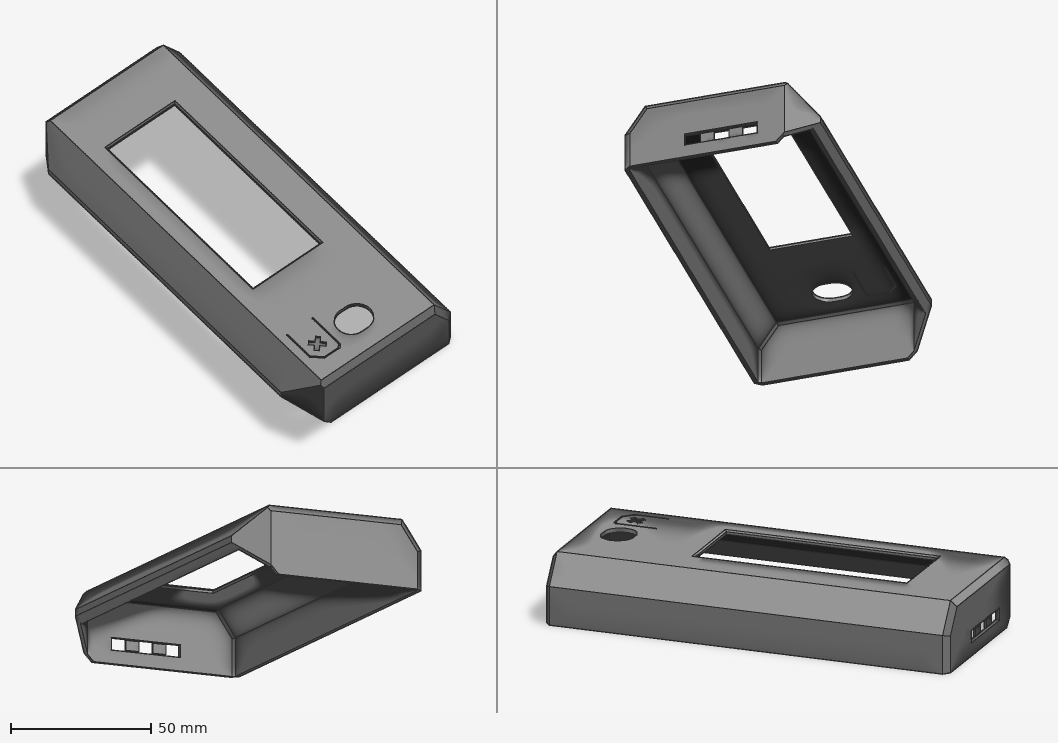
import cadquery as cq
import math

LENGTH = 155.0
DEPTH = 69.9
HEIGHT = 25.4

RIDGE_TOP = 15.5
RIDGE_BOTTOM = 13.0
TOP_FRONT = 9.8
BASE_FRONT = 12.5
BACK_TOP = 62.3
BACK_KNEE = 14.5

END_BEVEL_X = 2.0
END_BEVEL_INSET = 2.5
FRONT_BEVEL_X = 12.7
FRONT_BEVEL_Y = 9.5

WALL = 1.5
FRONT_WALL = 2.5
INNER_BEVEL_X = 0.8

WINDOW_LENGTH = 81.2
WINDOW_WIDTH = 31.3
WINDOW_X = -12.5
WINDOW_Y = 33.3
WINDOW_CHAMFER = 0.6

OBLONG_LENGTH = 14.7
OBLONG_WIDTH = 12.1
OBLONG_X = 62.0
OBLONG_Y = 36.3

TAB_ROOT_X = 52.1
TAB_TIP_X = 68.2
TAB_FRONT_Y = 13.6
TAB_BACK_Y = 25.0
TAB_FRONT_CORNER = 3.7
TAB_BACK_CORNER = 1.2
SLIT_WIDTH = 0.5

CROSS_X = OBLONG_X
CROSS_Y = 19.2
CROSS_SPAN = 6.4
CROSS_BAR = 1.9
CROSS_DEPTH = 1.0

PORT_WIDTH = 27.3
PORT_HEIGHT = 4.6
PORT_Y = 33.3
PORT_Z = 7.3
BLOCK_WIDTH = 5.1
BLOCK_PITCH = 10.7
BLOCK_GAP = 0.5
BLOCK_RECESS = 0.8


def end_bevelled_prism(wall, bevel_x):
    """Prism with the back-side profile and bevelled ends, all faces set inward by wall.

    The front and the base overshoot the housing, so the end bevels stay off them.
    """
    profile = [
        (-DEPTH, -HEIGHT),
        (-DEPTH, HEIGHT),
        (BACK_TOP, HEIGHT),
        (DEPTH, BACK_KNEE),
        (DEPTH, -HEIGHT),
    ]
    section = cq.Workplane("YZ").polyline(profile).close().offset2D(-wall)
    half_length = LENGTH / 2 - wall
    middle = section.extrude(half_length - bevel_x, both=True)
    taper = math.degrees(math.atan2(END_BEVEL_INSET, END_BEVEL_X))
    right_end = middle.faces(">X").wires().toPending().extrude(bevel_x, taper=taper, combine=False)
    return middle.union(right_end).union(right_end.mirror("YZ"))


def bevelled_plan(front, shift):
    """Upright prism with bevelled front corners, whose bevel planes are set inward by shift."""
    slope = FRONT_BEVEL_Y / FRONT_BEVEL_X
    half_length = LENGTH / 2
    bevel_end_y = FRONT_BEVEL_Y + shift * math.hypot(1, slope)
    half_front = half_length - (bevel_end_y - front) / slope
    outline = [
        (-half_front, front),
        (half_front, front),
        (half_length, bevel_end_y),
        (half_length, DEPTH),
        (-half_length, DEPTH),
        (-half_length, bevel_end_y),
    ]
    return cq.Workplane("XY").polyline(outline).close().extrude(HEIGHT)


def long_prism(profile):
    """Extrude a (Y, Z) profile over the full length along X."""
    return cq.Workplane("YZ").polyline(profile).close().extrude(LENGTH / 2, both=True)


def outer_shape():
    wedge_front = [
        (BASE_FRONT, 0),
        (0, RIDGE_BOTTOM),
        (0, RIDGE_TOP),
        (TOP_FRONT, HEIGHT),
        (DEPTH, HEIGHT),
        (DEPTH, 0),
    ]
    plan = bevelled_plan(0, 0)
    return end_bevelled_prism(0, END_BEVEL_X).intersect(long_prism(wedge_front)).intersect(plan)


def cavity():
    """Hollow inside, open through the base and the lower front slope."""
    slope = (HEIGHT - RIDGE_TOP) / TOP_FRONT
    drop = WALL * math.hypot(1, slope)
    hollow_front = [
        (FRONT_WALL, 0),
        (FRONT_WALL, RIDGE_TOP + FRONT_WALL * slope - drop),
        (TOP_FRONT + drop / slope, HEIGHT),
        (DEPTH, HEIGHT),
        (DEPTH, 0),
    ]
    plan = bevelled_plan(FRONT_WALL, WALL)
    return end_bevelled_prism(WALL, INNER_BEVEL_X).intersect(long_prism(hollow_front)).intersect(plan)


def top_sketch(x, y):
    return cq.Workplane("XY", origin=(x, y, HEIGHT))


def window():
    opening = top_sketch(WINDOW_X, WINDOW_Y).rect(WINDOW_LENGTH, WINDOW_WIDTH).extrude(-2 * WALL)
    flare = (
        top_sketch(WINDOW_X, WINDOW_Y)
        .rect(WINDOW_LENGTH + 2 * WINDOW_CHAMFER, WINDOW_WIDTH + 2 * WINDOW_CHAMFER)
        .workplane(offset=-WINDOW_CHAMFER)
        .rect(WINDOW_LENGTH, WINDOW_WIDTH)
        .loft()
    )
    return opening.union(flare)


def oblong_hole():
    return top_sketch(OBLONG_X, OBLONG_Y).slot2D(OBLONG_LENGTH, OBLONG_WIDTH, 90).extrude(-2 * WALL)


def tab_prism(grow):
    """Tab outline with its three free sides moved outward by grow."""
    tip = TAB_TIP_X + grow
    front = TAB_FRONT_Y - grow
    back = TAB_BACK_Y + grow
    outline = [
        (TAB_ROOT_X, front),
        (tip - TAB_FRONT_CORNER, front),
        (tip, front + TAB_FRONT_CORNER),
        (tip, back - TAB_BACK_CORNER),
        (tip - TAB_BACK_CORNER, back),
        (TAB_ROOT_X, back),
    ]
    return top_sketch(0, 0).polyline(outline).close().extrude(-2 * WALL)


def tab_slit():
    return tab_prism(SLIT_WIDTH).cut(tab_prism(0))


def engraved_cross():
    bar = top_sketch(CROSS_X, CROSS_Y).rect(CROSS_SPAN, CROSS_BAR).extrude(-CROSS_DEPTH)
    centre = (CROSS_X, CROSS_Y, 0)
    axis_end = (CROSS_X, CROSS_Y, 1)
    return bar.rotate(centre, axis_end, 45).union(bar.rotate(centre, axis_end, -45))


def port_box(y, width, height, recess):
    """Box at port height, from recess behind the left end face to the inside of the wall."""
    thickness = WALL - recess
    x = -LENGTH / 2 + recess + thickness / 2
    return cq.Workplane("XY", origin=(x, y, PORT_Z)).box(thickness, width, height)


def make_housing():
    housing = outer_shape().cut(cavity())
    for opening in (window(), oblong_hole(), tab_slit(), engraved_cross()):
        housing = housing.cut(opening)
    return housing.cut(port_box(PORT_Y, PORT_WIDTH, PORT_HEIGHT, 0)).solids()


def make_port_block(y):
    return port_box(y, BLOCK_WIDTH, PORT_HEIGHT - 2 * BLOCK_GAP, BLOCK_RECESS)


housing = make_housing()
port_blocks = [make_port_block(PORT_Y + side * BLOCK_PITCH / 2) for side in (-1, 1)]

result = cq.Compound.makeCompound([housing.val(), *[block.val() for block in port_blocks]])